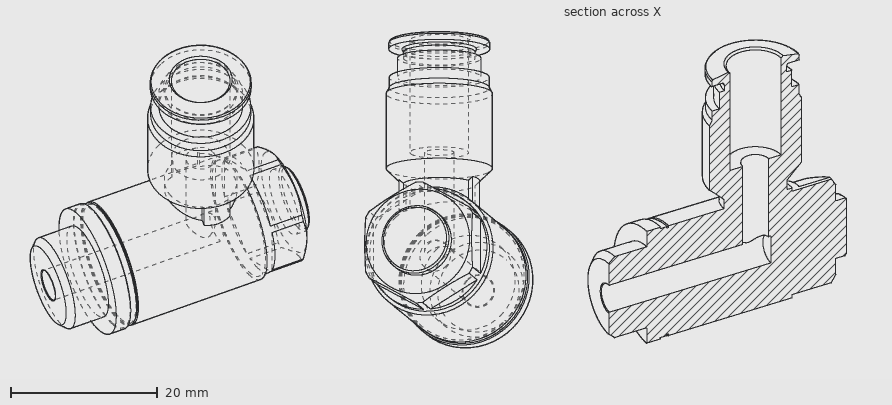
import cadquery as cq
import math

FRONT_Y = -23.05
BACK_Y = FRONT_Y + 37.4
THREAD_DIA = 13.15
THREAD_TIP_DIA = 11.4
THREAD_TIP_LENGTH = 0.95
FLANGE_FRONT_Y = FRONT_Y + 5.95
FLANGE_DIA = 18.15
RING_FRONT_Y = FLANGE_FRONT_Y + 2.2
RING_DIA = 17.7
GROOVE_FRONT_Y = RING_FRONT_Y + 1.0
GROOVE_WIDTH = 0.25
GROOVE_DIA = 17.22
BODY_FRONT_Y = GROOVE_FRONT_Y + GROOVE_WIDTH
BODY_DIA = 17.8
COLLAR_FRONT_Y = 5.75
COLLAR_DIA = 16.8

HEX_FRONT_Y = COLLAR_FRONT_Y + 1.45
HEX_BACK_Y = HEX_FRONT_Y + 5.4
HEX_ACROSS_FLATS = 15.0
HEX_END_DIA = 14.5
HEX_CHAMFER_LENGTH = 0.68
BOSS_DIA = 9.4
BOSS_CHAMFER = 0.28

TOP_Z = 39.77 - FLANGE_DIA / 2
STEM_DIA = 9.95
STEM_TOP_Z = 10.35
CUP_DIA = 14.5
CUP_BOTTOM_Z = 12.55
CUP_SHOULDER_Z = 23.0
CAP_DIA = 13.7
CAP_BOTTOM_Z = 23.8
CAP_TOP_Z = 25.25
SLEEVE_DIA = 11.4
SLEEVE_TOP_Z = 27.9
NECK_DIA = 9.8
NECK_FLARE_DIA = 10.2
NECK_FLARE_Z = 28.75
RIM_DIA = 13.8
RIM_BOTTOM_Z = 29.15
RIM_EDGE_Z = 30.0
RIM_CONE_DIA = 13.52
RIM_CONE_Z = 30.25

LUG_DIA = 11.0
LUG_WIDTH = 3.95

TUBE_BORE_DIA = 8.0
TUBE_MOUTH_DIA = 8.6
TUBE_BORE_DEPTH = 15.9
PORT_HOLE_DIA = 4.0
FRONT_HOLE_DIA = 4.3
FRONT_HOLE_END_Y = 2.4
FRONT_HOLE_CHAMFER = 0.1


def cylinder_y(diameter, start, end):
    """Solid cylinder on the Y axis."""
    return cq.Workplane("XZ", origin=(0, start, 0)).circle(diameter / 2).extrude(start - end)


def cylinder_z(diameter, start, end):
    """Solid cylinder on the Z axis."""
    return cq.Workplane("XY", origin=(0, 0, start)).circle(diameter / 2).extrude(end - start)


def make_body():
    """Stepped body from the threaded end to the collar."""
    thread = cylinder_y(THREAD_DIA, FRONT_Y, FLANGE_FRONT_Y)
    tip_inset = (THREAD_DIA - THREAD_TIP_DIA) / 2
    thread = thread.faces("<Y").chamfer(THREAD_TIP_LENGTH, tip_inset)
    return (
        thread
        .union(cylinder_y(FLANGE_DIA, FLANGE_FRONT_Y, RING_FRONT_Y))
        .union(cylinder_y(RING_DIA, RING_FRONT_Y, GROOVE_FRONT_Y))
        .union(cylinder_y(GROOVE_DIA, GROOVE_FRONT_Y, BODY_FRONT_Y))
        .union(cylinder_y(BODY_DIA, BODY_FRONT_Y, COLLAR_FRONT_Y))
        .union(cylinder_y(COLLAR_DIA, COLLAR_FRONT_Y, HEX_FRONT_Y))
    )


def make_hex_end():
    """Hexagon with rounded corners and a conical end, followed by a small boss."""
    across_corners = HEX_ACROSS_FLATS / math.cos(math.pi / 6)
    hexagon = (
        cq.Workplane("XZ", origin=(0, HEX_FRONT_Y, 0))
        .transformed(rotate=(0, 0, 90))
        .polygon(6, across_corners)
        .extrude(HEX_FRONT_Y - HEX_BACK_Y)
    )
    corner_inset = (COLLAR_DIA - HEX_END_DIA) / 2
    envelope = (
        cylinder_y(COLLAR_DIA, HEX_FRONT_Y, HEX_BACK_Y)
        .faces(">Y")
        .chamfer(HEX_CHAMFER_LENGTH, corner_inset)
    )
    boss = cylinder_y(BOSS_DIA, HEX_BACK_Y, BACK_Y).faces(">Y").chamfer(BOSS_CHAMFER)
    return hexagon.intersect(envelope).union(boss)


def make_port():
    """Revolved outline of the tube port, from the body axis to the rim."""
    outline = [
        (0, 0),
        (STEM_DIA / 2, 0),
        (STEM_DIA / 2, STEM_TOP_Z),
        (CUP_DIA / 2, CUP_BOTTOM_Z),
        (CUP_DIA / 2, CUP_SHOULDER_Z),
        (CAP_DIA / 2, CAP_BOTTOM_Z),
        (CAP_DIA / 2, CAP_TOP_Z),
        (SLEEVE_DIA / 2, CAP_TOP_Z),
        (SLEEVE_DIA / 2, SLEEVE_TOP_Z),
        (NECK_DIA / 2, SLEEVE_TOP_Z),
        (NECK_DIA / 2, NECK_FLARE_Z),
        (NECK_FLARE_DIA / 2, RIM_BOTTOM_Z),
        (RIM_DIA / 2, RIM_BOTTOM_Z),
        (RIM_DIA / 2, RIM_EDGE_Z),
        (RIM_CONE_DIA / 2, RIM_CONE_Z),
        (TUBE_MOUTH_DIA / 2, TOP_Z),
        (0, TOP_Z),
    ]
    return cq.Workplane("XZ").polyline(outline).close().revolve(360, (0, 0, 0), (0, 1, 0))


def make_lugs():
    """Parallel-sided bar with rounded ends, crossing the stem to form both lugs."""
    cone_slope = (CUP_BOTTOM_Z - STEM_TOP_Z) / (CUP_DIA - STEM_DIA)
    lug_top_z = STEM_TOP_Z + cone_slope * (LUG_DIA - STEM_DIA)
    bar = cq.Workplane("XY").rect(LUG_DIA, LUG_WIDTH).extrude(lug_top_z)
    return bar.intersect(cylinder_z(LUG_DIA, 0, lug_top_z))


def bevel(plane, origin, mouth_dia, hole_dia):
    """45-degree cone that widens towards the mouth of a hole, at the given plane."""
    depth = (mouth_dia - hole_dia) / 2
    return (
        cq.Workplane(plane, origin=origin)
        .circle(mouth_dia / 2)
        .workplane(offset=-depth)
        .circle(hole_dia / 2)
        .loft()
    )


def cut_passages(part):
    """Tube bore and front hole, both bevelled, joined by a narrower hole."""
    bore_bottom = TOP_Z - TUBE_BORE_DEPTH
    front_mouth_dia = FRONT_HOLE_DIA + 2 * FRONT_HOLE_CHAMFER
    return (
        part
        .cut(cylinder_z(TUBE_BORE_DIA, bore_bottom, TOP_Z))
        .cut(bevel("XY", (0, 0, TOP_Z), TUBE_MOUTH_DIA, TUBE_BORE_DIA))
        .cut(cylinder_z(PORT_HOLE_DIA, 0, bore_bottom))
        .cut(cylinder_y(FRONT_HOLE_DIA, FRONT_Y, FRONT_HOLE_END_Y))
        .cut(bevel("XZ", (0, FRONT_Y, 0), front_mouth_dia, FRONT_HOLE_DIA))
    )


result = cut_passages(make_body().union(make_hex_end()).union(make_port()).union(make_lugs()))